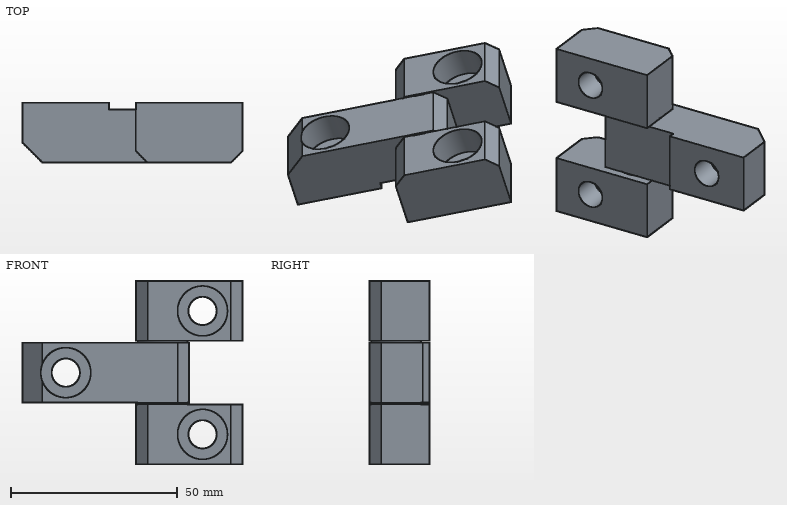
import cadquery as cq

block_depth = 18.0
block_height = 18.0
washer_thickness = 0.5
level_pitch = block_height + washer_thickness

screw_hole_diameter = 8.4
counterbore_diameter = 15.0
counterbore_depth = 9.0

hinge_edge_distance = 8.0
washer_diameter = 15.0
hinge_chamfer = 3.5

middle_length = 50.0
middle_free_chamfer = 6.0
middle_hole_x = 13.0
relief_start_x = 26.0
relief_depth = block_depth - 2 * hinge_edge_distance

outer_length = 32.0
outer_hole_from_end = 12.0
hinge_x = middle_length - hinge_edge_distance
hinge_y = hinge_edge_distance
outer_left_x = hinge_x - hinge_edge_distance
outer_right_x = outer_left_x + outer_length
outer_hole_x = outer_right_x - outer_hole_from_end

bottom_level, middle_level, top_level = [level * level_pitch for level in range(3)]


def make_block(left_x, length, base_z, left_chamfer, right_chamfer):
    """Block with both upright front edges chamfered at 45 degrees."""
    right_x = left_x + length
    return (
        cq.Workplane("XY", origin=(0, 0, base_z))
        .moveTo(left_x + left_chamfer, 0)
        .lineTo(right_x - right_chamfer, 0)
        .lineTo(right_x, right_chamfer)
        .lineTo(right_x, block_depth)
        .lineTo(left_x, block_depth)
        .lineTo(left_x, left_chamfer)
        .close()
        .extrude(block_height)
    )


def cut_screw_hole(block, hole_x, base_z):
    """Cut a through hole and its front counterbore at mid-height of the block."""
    front_face = cq.Workplane("XZ", origin=(hole_x, 0, base_z + block_height / 2))
    through_hole = front_face.circle(screw_hole_diameter / 2).extrude(-block_depth)
    counterbore = front_face.circle(counterbore_diameter / 2).extrude(-counterbore_depth)
    return block.cut(through_hole).cut(counterbore)


def make_middle_leaf():
    """Long leaf, thinned at the back around the hinge axis."""
    leaf = make_block(0, middle_length, middle_level, middle_free_chamfer, hinge_chamfer)
    relief = cq.Workplane("XY").box(
        middle_length - relief_start_x, relief_depth, block_height, centered=False
    )
    relief = relief.translate((relief_start_x, block_depth - relief_depth, middle_level))
    return cut_screw_hole(leaf.cut(relief), middle_hole_x, middle_level)


def make_outer_leaf(base_z):
    """Short leaf with equal chamfers at both front edges."""
    leaf = make_block(outer_left_x, outer_length, base_z, hinge_chamfer, hinge_chamfer)
    return cut_screw_hole(leaf, outer_hole_x, base_z)


def make_washer(base_z):
    """Thin spacer disc on the hinge axis, filling the gap above a leaf."""
    return (
        cq.Workplane("XY", origin=(hinge_x, hinge_y, base_z))
        .circle(washer_diameter / 2)
        .extrude(washer_thickness)
    )


middle_leaf = make_middle_leaf()
outer_leaves = [make_outer_leaf(base_z) for base_z in (bottom_level, top_level)]
washers = [make_washer(base_z + block_height) for base_z in (bottom_level, middle_level)]

result = cq.Compound.makeCompound(
    [middle_leaf.val()]
    + [leaf.val() for leaf in outer_leaves]
    + [washer.val() for washer in washers]
)